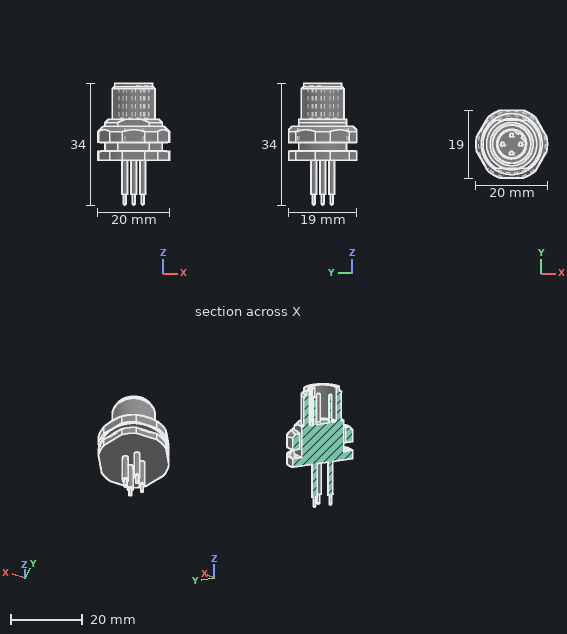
import cadquery as cq
import math


HEX_ACROSS_FLATS = 19.0
HEX_CORNER_RADIUS = 10.0

FLANGE_TOP = 2.5
RING_INNER_RADIUS = 7.95
RING_OUTER_RADIUS = 9.3
RING_RISE = 0.2

COLLAR_RADIUS = 8.0
COLLAR_TOP = 11.5
COLLAR_CHAMFER = 1.0
COLLAR_ACROSS_FLATS = 13.4

NUT_BOTTOM = 5.0
NUT_TOP = 9.5
NUT_CHAMFER = 1.5
NUT_BORE_RADIUS = 7.15
WASHER_FACE_RADIUS = 9.4
WASHER_FACE_HEIGHT = 0.07

BARREL_RADIUS = 6.0
BARREL_CHAMFER = 0.6
RIM_RADIUS = 5.3
RIM_BOTTOM = 20.5
RIM_TOP = 21.5

SOCKET_RADIUS = 4.15
SOCKET_FLOOR = COLLAR_TOP
SOCKET_FLOOR_CHAMFER = 0.3

KEY_ANGLE = 45.0
KEY_FLAT_OFFSET = 3.2
KEY_TOP = RIM_TOP - 0.55
KEY_GROOVE_RADIUS = 0.7
KEY_GROOVE_OFFSET = 3.4

PIN_COUNT = 4
PIN_CIRCLE_RADIUS = 2.5
CONTACT_RADIUS = 0.5
CONTACT_TOP = 19.55
CONTACT_ROUNDING = 0.45
SHANK_RADIUS = 0.8
SHANK_BOTTOM = -9.5
TAIL_RADIUS = 0.4
TAIL_TIP = -12.5


def cylinder(radius, bottom, top):
    return cq.Workplane("XY", origin=(0, 0, bottom)).circle(radius).extrude(top - bottom)


def revolved(points):
    """Turn a closed (radius, height) outline about the Z axis."""
    return cq.Workplane("XZ").polyline(points).close().revolve(360, (0, 0, 0), (0, 1, 0))


def hexagon(bottom, top):
    """Hexagonal prism with flats facing +Y and -Y and corners left sharp."""
    point_to_point = HEX_ACROSS_FLATS / math.cos(math.radians(30))
    return cq.Workplane("XY", origin=(0, 0, bottom)).polygon(6, point_to_point).extrude(top - bottom)


def make_flange():
    """Hexagonal flange with turned corners and the crown of its sealing ring."""
    flange = hexagon(0, FLANGE_TOP).intersect(cylinder(HEX_CORNER_RADIUS, 0, FLANGE_TOP))
    ring_middle_radius = (RING_INNER_RADIUS + RING_OUTER_RADIUS) / 2
    ring = (
        cq.Workplane("XZ")
        .moveTo(RING_INNER_RADIUS, FLANGE_TOP)
        .threePointArc((ring_middle_radius, FLANGE_TOP + RING_RISE), (RING_OUTER_RADIUS, FLANGE_TOP))
        .close()
        .revolve(360, (0, 0, 0), (0, 1, 0))
    )
    return flange.union(ring)


def make_collar():
    collar = cylinder(COLLAR_RADIUS, 0, COLLAR_TOP).faces(">Z").chamfer(COLLAR_CHAMFER)
    flats = cq.Workplane("XY").rect(2 * COLLAR_RADIUS, COLLAR_ACROSS_FLATS).extrude(COLLAR_TOP)
    return collar.intersect(flats)


def make_nut():
    """Hexagonal nut; its bore leaves a narrow gap over each flat of the collar."""
    envelope = cylinder(HEX_CORNER_RADIUS, NUT_BOTTOM, NUT_TOP).faces(">Z").chamfer(NUT_CHAMFER)
    nut = hexagon(NUT_BOTTOM, NUT_TOP).intersect(envelope)
    washer_bottom = NUT_BOTTOM - WASHER_FACE_HEIGHT
    washer_face = cylinder(WASHER_FACE_RADIUS, washer_bottom, NUT_BOTTOM)
    bore = cylinder(NUT_BORE_RADIUS, washer_bottom, NUT_TOP)
    return nut.union(washer_face).cut(bore)


def make_barrel():
    barrel = cylinder(BARREL_RADIUS, 0, RIM_BOTTOM).faces(">Z").chamfer(BARREL_CHAMFER)
    return barrel.union(cylinder(RIM_RADIUS, 0, RIM_TOP))


def make_socket():
    """Hollow of the socket, leaving the grooved coding key standing."""
    hollow = revolved([
        (0, SOCKET_FLOOR),
        (SOCKET_RADIUS - SOCKET_FLOOR_CHAMFER, SOCKET_FLOOR),
        (SOCKET_RADIUS, SOCKET_FLOOR + SOCKET_FLOOR_CHAMFER),
        (SOCKET_RADIUS, RIM_TOP),
        (0, RIM_TOP),
    ])
    key_height = KEY_TOP - SOCKET_FLOOR
    key_plane = cq.Workplane("XY", origin=(0, 0, SOCKET_FLOOR))
    key = (
        key_plane.center(KEY_FLAT_OFFSET + SOCKET_RADIUS / 2, 0)
        .rect(SOCKET_RADIUS, 2 * SOCKET_RADIUS)
        .extrude(key_height)
    )
    groove = key_plane.center(KEY_GROOVE_OFFSET, 0).circle(KEY_GROOVE_RADIUS).extrude(key_height)
    grooved_key = key.cut(groove).rotate((0, 0, 0), (0, 0, 1), KEY_ANGLE)
    return hollow.cut(grooved_key)


def make_pin():
    """Contact with a rounded top, a thicker shank and a pointed solder tail."""
    contact = cylinder(CONTACT_RADIUS, 0, CONTACT_TOP).faces(">Z").edges().fillet(CONTACT_ROUNDING)
    shank = cylinder(SHANK_RADIUS, SHANK_BOTTOM, FLANGE_TOP)
    tail = revolved([
        (0, TAIL_TIP),
        (TAIL_RADIUS, TAIL_TIP + TAIL_RADIUS),
        (TAIL_RADIUS, SHANK_BOTTOM),
        (0, SHANK_BOTTOM),
    ])
    return contact.union(shank).union(tail)


result = make_flange().union(make_collar()).union(make_nut()).union(make_barrel())
result = result.cut(make_socket())

pin = make_pin().translate((PIN_CIRCLE_RADIUS, 0, 0))
for index in range(PIN_COUNT):
    result = result.union(pin.rotate((0, 0, 0), (0, 0, 1), index * 360 / PIN_COUNT))